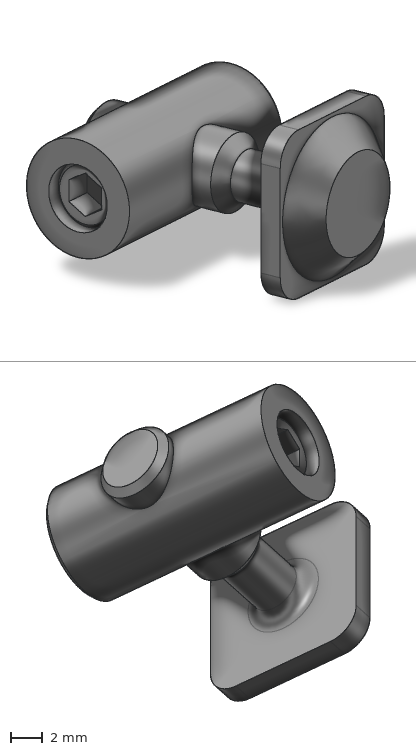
import cadquery as cq
import math


barrel_diameter = 8
barrel_front = -9.5
barrel_length = 17
barrel_chamfer = 0.3

bore_diameter = 4.55
screw_face_diameter = 4
screw_recess = 0.8
screw_chamfer = (bore_diameter - screw_face_diameter) / 2
hex_across_flats = 2.55
hex_depth = 2

pin_diameter = 5.3
pin_start = -5
pin_chamfer = 0.5
neck_diameter = 3.5
shoulder_end = 6.35
shoulder_length = (pin_diameter - neck_diameter) / 2

overall_length = 20
head_end = pin_start + overall_length
plate_side = 11.4
plate_corner_radius = 2
plate_thickness = 1.5
crown_height = 2
crown_base_radius = 5.45
crown_top_radius = 3.5
plate_end = head_end - crown_height
plate_start = plate_end - plate_thickness
neck_fillet = 1


def make_barrel():
    """Plain cylinder along Y, chamfered at its closed end."""
    body = (
        cq.Workplane("XZ", origin=(0, barrel_front, 0))
        .circle(barrel_diameter / 2)
        .extrude(-barrel_length)
    )
    return body.faces(">Y").chamfer(barrel_chamfer)


def make_bore():
    """Space in front of the set screw, including its chamfered rim and hex socket."""
    screw_face = barrel_front + screw_recess
    bore_radius = bore_diameter / 2
    face_radius = screw_face_diameter / 2
    recess = (
        cq.Workplane("XY")
        .moveTo(0, barrel_front)
        .lineTo(bore_radius, barrel_front)
        .lineTo(bore_radius, screw_face + screw_chamfer)
        .lineTo(face_radius, screw_face)
        .lineTo(0, screw_face)
        .close()
        .revolve(360, (0, 0, 0), (0, 1, 0))
    )
    hex_across_corners = hex_across_flats / math.cos(math.pi / 6)
    socket = (
        cq.Workplane("XZ", origin=(0, screw_face, 0))
        .transformed(rotate=(0, 0, 90))
        .polygon(6, hex_across_corners)
        .extrude(-hex_depth)
    )
    return recess.union(socket)


def make_pin():
    """Turned pin along X: chamfered end, tapered shoulder, neck flaring into the plate."""
    pin_radius = pin_diameter / 2
    neck_radius = neck_diameter / 2
    fillet_start = plate_start - neck_fillet
    arc_offset = neck_fillet * math.sqrt(0.5)
    arc_middle = (fillet_start + arc_offset, neck_radius + neck_fillet - arc_offset)
    return (
        cq.Workplane("XY")
        .moveTo(pin_start, 0)
        .lineTo(pin_start, pin_radius - pin_chamfer)
        .lineTo(pin_start + pin_chamfer, pin_radius)
        .lineTo(shoulder_end - shoulder_length, pin_radius)
        .lineTo(shoulder_end, neck_radius)
        .lineTo(fillet_start, neck_radius)
        .threePointArc(arc_middle, (plate_start, neck_radius + neck_fillet))
        .lineTo(plate_end, neck_radius + neck_fillet)
        .lineTo(plate_end, 0)
        .close()
        .revolve(360, (0, 0, 0), (1, 0, 0))
    )


def make_head():
    """Square plate with rounded corners, carrying a conical crown."""
    plate = (
        cq.Workplane("YZ", origin=(plate_start, 0, 0))
        .rect(plate_side, plate_side)
        .extrude(plate_thickness)
        .edges("|X")
        .fillet(plate_corner_radius)
    )
    crown = (
        cq.Workplane("XY")
        .moveTo(plate_end, 0)
        .lineTo(plate_end, crown_base_radius)
        .lineTo(head_end, crown_top_radius)
        .lineTo(head_end, 0)
        .close()
        .revolve(360, (0, 0, 0), (1, 0, 0))
    )
    return plate.union(crown)


result = make_barrel().union(make_pin()).union(make_head()).cut(make_bore())